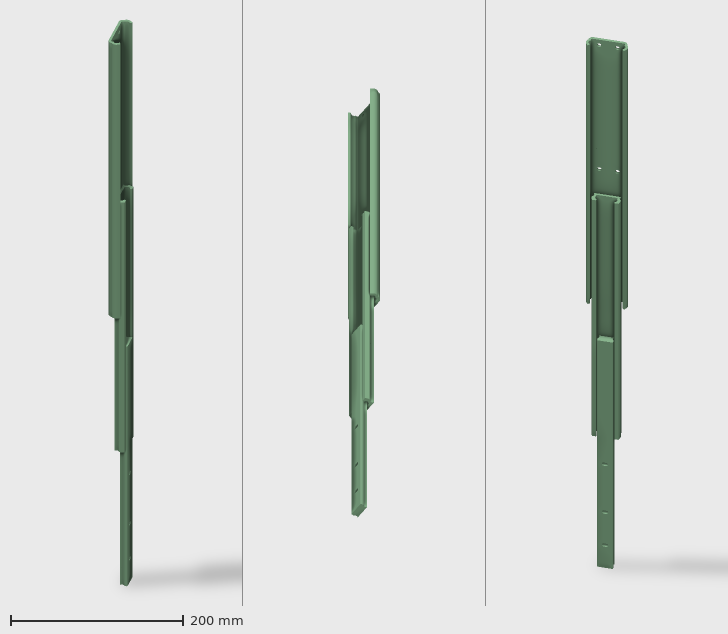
import cadquery as cq
import math

slide_depth = 19.75
slide_half_width = 49.77 / 2

outer_bottom = 400.0
outer_length = 400.0
middle_bottom = 200.0
middle_length = 365.0
inner_bottom = 0.0
inner_length = 350.0

outer_wall = 3.0
corner_radius = 5.0
corner_inside_radius = 1.6
corner_inside_y = 20.1
outer_race_x = 9.4
outer_race_radius = 6.4
outer_race_y = slide_half_width - outer_race_radius
lip_angle = 38.0
lip_length = 2.9

middle_back = 6.3
middle_front = 18.6
middle_web_front = 9.0
back_horn_x = 6.9
back_horn_y = 16.3
outside_groove_x = 9.4
outside_groove_y = 15.2
front_horn_start = (12.1, 17.1)
front_horn_end = (14.3, 17.4)
middle_front_y = 15.8
hook_y = 10.9

inner_race_x = 13.5
inner_race_y = 11.1
inside_groove_radius = 2.4
inside_groove_start_angle = -54.0
inner_groove_radius = 3.0

inner_back = 11.0
inner_half_width = 9.5
inner_edge_chamfer = 0.6

outer_hole_diameter = 5.5
outer_hole_half_spacing = 10.8
outer_hole_bottom_distance = 7.5
outer_hole_top_distance = 8.5

slot_length = 7.4
slot_width = 5.0
slot_heights = (35.0, 86.0, 160.0)


def polar(center_x, center_y, radius, angle):
    """Point on a circle, the angle in degrees measured from +Y toward +X."""
    a = math.radians(angle)
    return (center_x + radius * math.sin(a), center_y + radius * math.cos(a))


def point_at_y(center_x, center_y, radius, y, side):
    """Point of a circle at height y, left (side -1) or right (side +1) of its center."""
    return (center_x + side * math.sqrt(radius**2 - (y - center_y) ** 2), y)


def point_at_x(center_x, center_y, radius, x, side):
    """Point of a circle at position x, below (side -1) or above (side +1) its center."""
    return (x, center_y + side * math.sqrt(radius**2 - (x - center_x) ** 2))


def mirrored_bar(half_section, bottom, length):
    """Extrude a half section along Z and join it to its mirror image."""
    half = half_section.extrude(length).translate((0, 0, bottom))
    return half.union(half.mirror("XZ")).clean()


def make_outer_rail():
    race_inside_radius = outer_race_radius - outer_wall
    lip_root = polar(outer_race_x, outer_race_y, outer_race_radius, lip_angle)
    lip_tip = polar(*lip_root, lip_length, lip_angle + 90)
    lip_inside_root = polar(outer_race_x, outer_race_y, race_inside_radius, lip_angle)
    lip_inside_tip = polar(*lip_inside_root, lip_length, lip_angle + 90)
    corner_end = point_at_x(outer_race_x, outer_race_y, outer_race_radius, corner_radius, 1)
    corner_center_y = corner_end[1] - corner_radius
    corner_middle = polar(corner_radius, corner_center_y, corner_radius, -45)
    corner_inside_x = outer_wall + corner_inside_radius
    corner_inside_center_y = corner_inside_y - corner_inside_radius
    corner_inside_middle = polar(corner_inside_x, corner_inside_center_y, corner_inside_radius, -45)

    section = (
        cq.Workplane("XY")
        .moveTo(0, 0)
        .lineTo(0, corner_center_y)
        .threePointArc(corner_middle, corner_end)
        .threePointArc((outer_race_x, slide_half_width), lip_root)
        .lineTo(*lip_tip)
        .lineTo(*lip_inside_tip)
        .lineTo(*lip_inside_root)
        .threePointArc(
            (outer_race_x, outer_race_y + race_inside_radius),
            point_at_y(outer_race_x, outer_race_y, race_inside_radius, corner_inside_y, -1),
        )
        .lineTo(corner_inside_x, corner_inside_y)
        .threePointArc(corner_inside_middle, (outer_wall, corner_inside_center_y))
        .lineTo(outer_wall, 0)
        .close()
    )
    rail = mirrored_bar(section, outer_bottom, outer_length)

    hole_heights = (
        outer_bottom + outer_hole_bottom_distance,
        outer_bottom + outer_length / 2,
        outer_bottom + outer_length - outer_hole_top_distance,
    )
    holes = (
        cq.Workplane("YZ")
        .pushPoints([(side * outer_hole_half_spacing, z) for side in (-1, 1) for z in hole_heights])
        .circle(outer_hole_diameter / 2)
        .extrude(outer_wall)
    )
    return rail.cut(holes)


def make_middle_rail():
    race = (inner_race_x, inner_race_y, inside_groove_radius)
    race_start = polar(*race, inside_groove_start_angle)
    section = (
        cq.Workplane("XY")
        .moveTo(middle_back, 0)
        .lineTo(middle_back, back_horn_y)
        .lineTo(back_horn_x, back_horn_y)
        .threePointArc((outside_groove_x, outside_groove_y), front_horn_start)
        .lineTo(*front_horn_end)
        .lineTo(middle_front, middle_front_y)
        .lineTo(middle_front, hook_y)
        .lineTo(*point_at_y(*race, hook_y, 1))
        .threePointArc((inner_race_x, inner_race_y + inside_groove_radius), race_start)
        .lineTo(middle_web_front, race_start[1])
        .lineTo(middle_web_front, 0)
        .close()
    )
    return mirrored_bar(section, middle_bottom, middle_length)


def make_inner_rail():
    race = (inner_race_x, inner_race_y, inner_groove_radius)
    section = (
        cq.Workplane("XY")
        .moveTo(inner_back, 0)
        .lineTo(*point_at_x(*race, inner_back, -1))
        .threePointArc(
            (inner_race_x, inner_race_y - inner_groove_radius),
            point_at_y(*race, inner_half_width, 1),
        )
        .lineTo(slide_depth - inner_edge_chamfer, inner_half_width)
        .lineTo(slide_depth, inner_half_width - inner_edge_chamfer)
        .lineTo(slide_depth, 0)
        .close()
    )
    bar = mirrored_bar(section, inner_bottom, inner_length)
    slots = (
        cq.Workplane("YZ", origin=(inner_back, 0, 0))
        .pushPoints([(0, z) for z in slot_heights])
        .slot2D(slot_length, slot_width)
        .extrude(slide_depth - inner_back)
    )
    return bar.cut(slots)


outer_rail = make_outer_rail()
middle_rail = make_middle_rail()
inner_rail = make_inner_rail()

result = cq.Compound.makeCompound([outer_rail.val(), middle_rail.val(), inner_rail.val()])